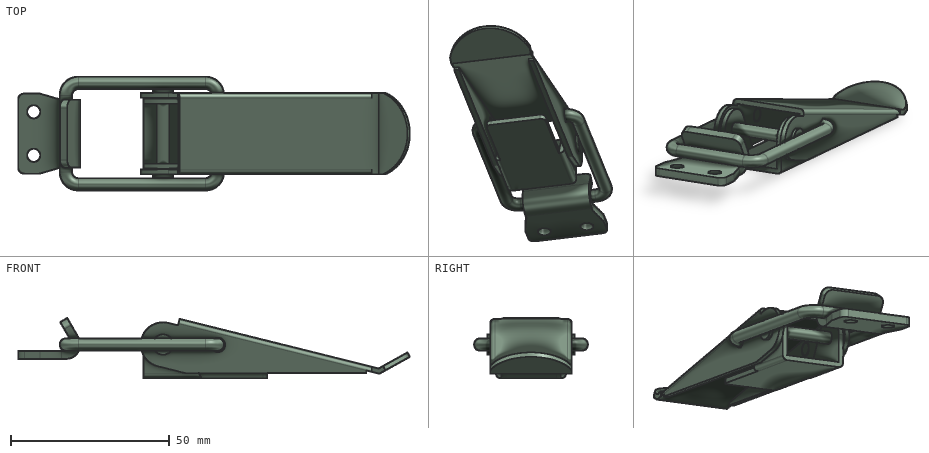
import cadquery as cq
import math


PIVOT_Z = 10.6
SHEET = 1.6
BEND_R = 1.5

STRIKE_LEFT = -45.8
STRIKE_T = 2.6
STRIKE_WIDTH = 25.4
STRIKE_CORNER_R = 2.0
NECK_START_X = -39.0
NECK_END_X = -32.2
NECK_WIDTH = 21.4
SCREW_HOLE_D = 4.1
SCREW_HOLE_X = -40.8
SCREW_HOLE_PITCH = 13.7
HOOK_LEAN = 30.0
HOOK_LENGTH = 7.0
HOOK_CORNER_R = 2.5

WIRE_D = 4.0
BAIL_LEFT_X = -30.7
BAIL_RIGHT_X = 17.3
BAIL_WIDTH = 36.0
BAIL_CORNER_R = 4.0

BASE_LEFT = -6.2
BASE_RIGHT = 32.9
BASE_WIDTH = 22.2
BASE_CORNER_R = 1.5
WALL_R = 6.2
WALL_FOOT_X = 12.1
PIN_D = 4.0
PIN_HEAD_D = 6.4
PIN_LENGTH = 27.7

LEVER_WIDTH = 25.7
LEVER_SLOPE = 14.0
EAR_R = 7.0
COVER_HEIGHT = 9.2
COVER_START = 3.1
EAR_TOE_X = 64.2
FOLD_END_X = 65.8
TAB_BEND_X = 68.1
TAB_SLOPE = 29.0
TIP_X = 78.0
TAB_SIDE = 2.2
BAIL_HOLE_D = 4.5
BAIL_HOLE_DROP = 0.1


def extrude_across(profile, width):
    """Extrude an XZ profile symmetrically about Y = 0."""
    return profile.extrude(width / 2, both=True)


def cylinder_across(x, z, diameter, length):
    """Cylinder along Y, centred on Y = 0."""
    return extrude_across(cq.Workplane("XZ").center(x, z).circle(diameter / 2), length)


def polar(centre, radius, degrees):
    """Point at a radius and angle from a centre in the XZ plane."""
    angle = math.radians(degrees)
    return (centre[0] + radius * math.cos(angle), centre[1] + radius * math.sin(angle))


def make_strike():
    centre = (BAIL_LEFT_X, PIVOT_Z)
    inner_r = WIRE_D / 2
    outer_r = inner_r + STRIKE_T
    top_z = PIVOT_Z - inner_r
    bottom_z = PIVOT_Z - outer_r
    bend_end = HOOK_LEAN
    bend_mid = (bend_end - 90) / 2
    inner_end = polar(centre, inner_r, bend_end)
    outer_end = polar(centre, outer_r, bend_end)
    hook_direction = bend_end + 90
    profile = (
        cq.Workplane("XZ")
        .moveTo(STRIKE_LEFT, bottom_z)
        .lineTo(BAIL_LEFT_X, bottom_z)
        .threePointArc(polar(centre, outer_r, bend_mid), outer_end)
        .lineTo(*polar(outer_end, HOOK_LENGTH, hook_direction))
        .lineTo(*polar(inner_end, HOOK_LENGTH, hook_direction))
        .lineTo(*inner_end)
        .threePointArc(polar(centre, inner_r, bend_mid), (BAIL_LEFT_X, top_z))
        .lineTo(STRIKE_LEFT, top_z)
        .close()
    )
    strike = extrude_across(profile, STRIKE_WIDTH)

    right = BAIL_LEFT_X + 2 * outer_r
    outline = (
        cq.Workplane("XY")
        .moveTo(STRIKE_LEFT, -STRIKE_WIDTH / 2)
        .lineTo(NECK_START_X, -STRIKE_WIDTH / 2)
        .lineTo(NECK_END_X, -NECK_WIDTH / 2)
        .lineTo(right, -NECK_WIDTH / 2)
        .lineTo(right, NECK_WIDTH / 2)
        .lineTo(NECK_END_X, NECK_WIDTH / 2)
        .lineTo(NECK_START_X, STRIKE_WIDTH / 2)
        .lineTo(STRIKE_LEFT, STRIKE_WIDTH / 2)
        .close()
        .extrude(2 * PIVOT_Z)
    )
    strike = strike.intersect(outline)
    strike = strike.edges("|Z and <X").fillet(STRIKE_CORNER_R)

    end_middle = polar(polar(centre, (inner_r + outer_r) / 2, bend_end), HOOK_LENGTH, hook_direction)
    for side in (-1, 1):
        corner = (end_middle[0], side * NECK_WIDTH / 2, end_middle[1])
        strike = strike.edges(cq.selectors.NearestToPointSelector(corner)).fillet(HOOK_CORNER_R)

    screw_holes = (
        cq.Workplane("XY")
        .center(SCREW_HOLE_X, 0)
        .rarray(1.2, SCREW_HOLE_PITCH, 1, 2)
        .circle(SCREW_HOLE_D / 2)
        .extrude(PIVOT_Z)
    )
    return strike.cut(screw_holes)


def make_bail():
    end_y = LEVER_WIDTH / 2 - SHEET
    side_y = (BAIL_WIDTH - WIRE_D) / 2
    corner_y = side_y - BAIL_CORNER_R
    left_x = BAIL_LEFT_X + BAIL_CORNER_R
    right_x = BAIL_RIGHT_X - BAIL_CORNER_R
    centre_line = (
        cq.Workplane("XY", origin=(0, 0, PIVOT_Z))
        .moveTo(BAIL_RIGHT_X, end_y)
        .lineTo(BAIL_RIGHT_X, corner_y)
        .radiusArc((right_x, side_y), -BAIL_CORNER_R)
        .lineTo(left_x, side_y)
        .radiusArc((BAIL_LEFT_X, corner_y), -BAIL_CORNER_R)
        .lineTo(BAIL_LEFT_X, -corner_y)
        .radiusArc((left_x, -side_y), -BAIL_CORNER_R)
        .lineTo(right_x, -side_y)
        .radiusArc((BAIL_RIGHT_X, -corner_y), -BAIL_CORNER_R)
        .lineTo(BAIL_RIGHT_X, -end_y)
    )
    section = cq.Workplane("XZ", origin=(BAIL_RIGHT_X, end_y, PIVOT_Z)).circle(WIRE_D / 2)
    return section.sweep(centre_line)


def make_base():
    pivot = (0, PIVOT_Z)
    foot_distance = math.hypot(WALL_FOOT_X, PIVOT_Z)
    foot_angle = math.degrees(math.atan2(-PIVOT_Z, WALL_FOOT_X))
    tangent_angle = foot_angle + math.degrees(math.acos(WALL_R / foot_distance))
    walls = (
        cq.Workplane("XZ")
        .moveTo(BASE_LEFT, 0)
        .lineTo(WALL_FOOT_X, 0)
        .lineTo(*polar(pivot, WALL_R, tangent_angle))
        .threePointArc((0, PIVOT_Z + WALL_R), (-WALL_R, PIVOT_Z))
        .lineTo(BASE_LEFT, 0)
        .close()
    )
    channel = extrude_across(walls, BASE_WIDTH).edges("|X and <Z").fillet(BEND_R)

    inner_width = BASE_WIDTH - 2 * SHEET
    length = BASE_RIGHT - BASE_LEFT
    cavity = cq.Workplane("XY", origin=(BASE_LEFT, 0, SHEET)).box(
        length, inner_width, 2 * PIVOT_Z, centered=(False, True, False)
    )
    floor = cq.Workplane("XY", origin=(BASE_LEFT, 0, 0)).box(
        length, inner_width, SHEET, centered=(False, True, False)
    )
    floor = floor.edges("|Z and >X").fillet(BASE_CORNER_R)
    return channel.cut(cavity).union(floor).union(make_pin())


def make_pin():
    pin = cylinder_across(0, PIVOT_Z, PIN_D, PIN_LENGTH)
    heads = cylinder_across(0, PIVOT_Z, PIN_HEAD_D, PIN_LENGTH)
    between_heads = cylinder_across(0, PIVOT_Z, PIN_HEAD_D, LEVER_WIDTH)
    return pin.union(heads.cut(between_heads))


def cover_z(x, depth=0.0):
    """Height at x of the plane lying a depth below the cover top."""
    slope = math.radians(LEVER_SLOPE)
    return PIVOT_Z + (COVER_HEIGHT - depth) / math.cos(slope) - x * math.tan(slope)


def cover_point(along, height):
    """XZ point from distances along and square to the cover, measured from the pivot."""
    return polar(polar((0, PIVOT_Z), along, -LEVER_SLOPE), height, 90 - LEVER_SLOPE)


def make_lever():
    slope = math.radians(LEVER_SLOPE)
    nose_end_x = ((PIVOT_Z - SHEET) - EAR_R / math.cos(slope)) / math.tan(slope)
    profile = (
        cq.Workplane("XZ")
        .moveTo(nose_end_x, SHEET)
        .lineTo(EAR_TOE_X, SHEET)
        .lineTo(EAR_TOE_X, cover_z(EAR_TOE_X, SHEET))
        .lineTo(FOLD_END_X, cover_z(FOLD_END_X, SHEET))
        .lineTo(FOLD_END_X, cover_z(FOLD_END_X))
        .lineTo(*cover_point(COVER_START, COVER_HEIGHT))
        .lineTo(*cover_point(COVER_START, EAR_R))
        .lineTo(*cover_point(0, EAR_R))
        .threePointArc(cover_point(-EAR_R, 0), cover_point(0, -EAR_R))
        .close()
    )
    lever = extrude_across(profile, LEVER_WIDTH)
    fold_x = (cover_point(COVER_START, COVER_HEIGHT)[0] + FOLD_END_X) / 2
    for side in (-1, 1):
        fold = (fold_x, side * LEVER_WIDTH / 2, cover_z(fold_x))
        lever = lever.edges(cq.selectors.NearestToPointSelector(fold)).fillet(BEND_R)

    hollow = (
        cq.Workplane("XZ")
        .moveTo(-2 * EAR_R, 0)
        .lineTo(FOLD_END_X, 0)
        .lineTo(FOLD_END_X, cover_z(FOLD_END_X, SHEET))
        .lineTo(-2 * EAR_R, cover_z(-2 * EAR_R, SHEET))
        .close()
    )
    lever = lever.cut(extrude_across(hollow, LEVER_WIDTH - 2 * SHEET))
    lever = lever.union(make_finger_tab())

    lever = lever.cut(cylinder_across(0, PIVOT_Z, PIN_D, LEVER_WIDTH))
    bail_hole = cylinder_across(BAIL_RIGHT_X, PIVOT_Z - BAIL_HOLE_DROP, BAIL_HOLE_D, LEVER_WIDTH)
    return lever.cut(bail_hole)


def make_finger_tab():
    bend_top = (TAB_BEND_X, cover_z(TAB_BEND_X))
    bisector = (TAB_SLOPE - LEVER_SLOPE) / 2 - 90
    half_bend = math.radians((TAB_SLOPE + LEVER_SLOPE) / 2)
    bend_bottom = polar(bend_top, SHEET / math.cos(half_bend), bisector)
    tab_angle = math.radians(TAB_SLOPE)
    tab_length = (TIP_X - bend_bottom[0]) / math.cos(tab_angle)
    tip_bottom = polar(bend_bottom, tab_length, TAB_SLOPE)
    tip_top = polar(tip_bottom, SHEET, TAB_SLOPE + 90)
    profile = (
        cq.Workplane("XZ")
        .moveTo(FOLD_END_X, cover_z(FOLD_END_X))
        .lineTo(*bend_top)
        .lineTo(*tip_top)
        .lineTo(*tip_bottom)
        .lineTo(*bend_bottom)
        .lineTo(FOLD_END_X, cover_z(FOLD_END_X, SHEET))
        .close()
    )
    strip = extrude_across(profile, LEVER_WIDTH)

    tab_plane = cq.Plane(
        origin=(tip_bottom[0], 0, tip_bottom[1]),
        xDir=(math.cos(tab_angle), 0, math.sin(tab_angle)),
        normal=(-math.sin(tab_angle), 0, math.cos(tab_angle)),
    )
    half_width = LEVER_WIDTH / 2
    round_start = TAB_SIDE - tab_length
    back = -2 * tab_length
    outline = (
        cq.Workplane(tab_plane)
        .moveTo(back, -half_width)
        .lineTo(round_start, -half_width)
        .threePointArc((0, 0), (round_start, half_width))
        .lineTo(back, half_width)
        .close()
        .extrude(LEVER_WIDTH, both=True)
    )
    return strip.intersect(outline)


strike = make_strike()
bail = make_bail()
base = make_base()
lever = make_lever()

bodies = [strike, bail, base, lever]
result = cq.Compound.makeCompound([body.solids().val() for body in bodies])